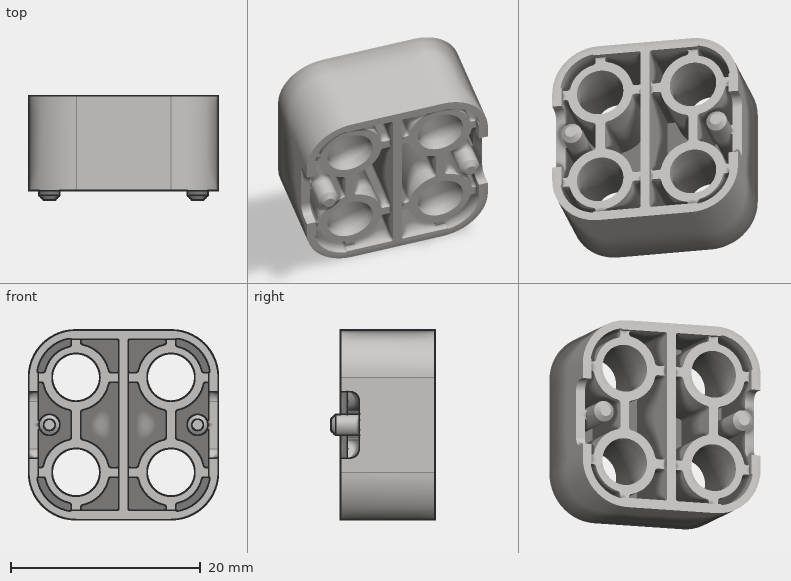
import cadquery as cq
import math

side = 20.0
depth = 10.0
corner_radius = 5.0
wall = 1.0
floor = 1.0

tube_offset = 5.0
bore_radius = 2.5
tube_radius = 3.5
rib_width = 1.0
rib_recess = 0.75
corner_pocket_outer_radius = 4.15
corner_pocket_inner_radius = 3.3
chamber_corner_cut = 3.3
rib_root_fillet = 0.3
wall_fillet = 0.2

pin_offset = 7.8
pin_radius = 1.1
pin_projection = 1.0
pin_chamfer = 0.5

notch_width = 7.0
notch_depth = 2.0
notch_corner_radius = 1.0

inner_side = side - 2 * wall
signs = (-1, 1)
tolerance = 1e-3
tube_centers = [(sx * tube_offset, sz * tube_offset) for sx in signs for sz in signs]


def prism(start_y, end_y, draw):
    """Extrude the outline made by draw, seen in XZ, between two Y levels."""
    plane = cq.Workplane("XZ", origin=(0, start_y, 0))
    return draw(plane).extrude(start_y - end_y)


def box(x_range, y_range, z_range):
    """Box spanning the given coordinate ranges."""
    size = [high - low for low, high in (x_range, y_range, z_range)]
    start = (x_range[0], y_range[0], z_range[0])
    return cq.Workplane("XY").box(*size, centered=False).translate(start)


def outer_block():
    """Solid square block with rounded edges along Y."""
    block = prism(0, depth, lambda plane: plane.rect(side, side))
    return block.edges("|Y").fillet(corner_radius)


def middle_wall():
    """Full-height wall that splits the inside into two chambers."""
    return box((-wall / 2, wall / 2), (0, depth), (-side / 2, side / 2))


def chambers(start_y, end_y):
    """Space inside the outer walls, on both sides of the middle wall.

    The outer corners are cut off on a slant that lies within the corner sectors.
    """
    space = prism(start_y, end_y, lambda plane: plane.rect(inner_side, inner_side))
    space = space.edges("|Y").chamfer(chamber_corner_cut).cut(middle_wall())
    beside_middle_wall = cq.selectors.BoxSelector((-wall, start_y, -side), (wall, end_y, side))
    return space.edges("|Y").edges(beside_middle_wall).fillet(wall_fillet)


def corner_sectors(start_y, end_y):
    """Quarter rings that thin the outer wall and the tube slightly at the four corners."""
    plane = cq.Workplane("XZ", origin=(0, start_y, 0)).pushPoints(tube_centers)
    rings = plane.circle(corner_pocket_outer_radius).circle(corner_pocket_inner_radius)
    rings = rings.extrude(start_y - end_y)
    reach = tube_offset + rib_width / 2
    y_range = (start_y, end_y)
    along = (-side / 2, side / 2)
    rib_zone = box((-reach, reach), y_range, along).union(box(along, y_range, (-reach, reach)))
    return rings.cut(rib_zone)


def tubes_and_ribs(start_y, end_y):
    """Four tubes on a grid of ribs through their centres."""
    y_range = (start_y, end_y)
    solid = prism(start_y, end_y, lambda plane: plane.pushPoints(tube_centers).circle(tube_radius))
    for offset in (-tube_offset, tube_offset):
        across = (offset - rib_width / 2, offset + rib_width / 2)
        along = (-side / 2, side / 2)
        solid = solid.union(box(across, y_range, along))
        solid = solid.union(box(along, y_range, across))
    return solid


def meets_tube(edge):
    """True for an edge where a rib joins the outside of a tube."""
    point = edge.Center()
    distance = math.hypot(abs(point.x) - tube_offset, abs(point.z) - tube_offset)
    return min(abs(distance - tube_radius), abs(distance - corner_pocket_inner_radius)) < tolerance


def meets_rib(edge):
    """True for an edge along Y that lies on the side of a rib."""
    point = edge.Center()
    gaps = [abs(abs(abs(value) - tube_offset) - rib_width / 2) for value in (point.x, point.z)]
    runs_along_y = edge.geomType() == "LINE" and abs(edge.tangentAt(0).y) > 1 - tolerance
    return runs_along_y and min(gaps) < tolerance


def pockets():
    """List of pockets left between the tubes, ribs and walls, with rounded edges along Y.

    The corner pockets start at the open face, the others at the recessed face of the ribs.
    """
    floor_y = depth - floor
    space = chambers(rib_recess, floor_y).cut(tubes_and_ribs(rib_recess, floor_y))
    space = space.union(corner_sectors(0, floor_y)).clean()
    rounded = []
    for pocket in space.solids().vals():
        rib_edges = [edge for edge in pocket.Edges() if meets_rib(edge)]
        wall_edges = [edge for edge in rib_edges if not meets_tube(edge)]
        pocket = pocket.fillet(wall_fillet, wall_edges)
        tube_edges = [edge for edge in pocket.Edges() if meets_rib(edge) and meets_tube(edge)]
        rounded.append(pocket.fillet(rib_root_fillet, tube_edges))
    return rounded


def notch(sign):
    """Notch in the open edge of a side wall, rounded at its two inner corners."""
    half = notch_width / 2
    x_range = sorted((sign * (side / 2 - wall), sign * side / 2))
    cutter = box(x_range, (0, notch_depth), (-half, half))
    return cutter.edges("|X and >Y").fillet(notch_corner_radius)


def pin(sign):
    """Chamfered pin standing on the floor, tied to the side wall by a short rib."""
    shaft = (
        cq.Workplane("XZ", origin=(sign * pin_offset, depth - floor, 0))
        .circle(pin_radius)
        .extrude(depth - floor + pin_projection)
        .faces("<Y")
        .chamfer(pin_chamfer)
    )
    x_range = sorted((sign * pin_offset, sign * (side / 2 - wall)))
    tie = box(x_range, (notch_depth, depth - floor), (-rib_width / 2, rib_width / 2))
    return shaft.union(tie)


def bores():
    """Through holes of the four tubes."""
    return prism(0, depth, lambda plane: plane.pushPoints(tube_centers).circle(bore_radius))


result = outer_block()
result = result.cut(chambers(0, rib_recess))
for pocket in pockets():
    result = result.cut(cq.Workplane(pocket))
for sign in signs:
    result = result.cut(notch(sign))
    result = result.union(pin(sign))
result = result.cut(bores())